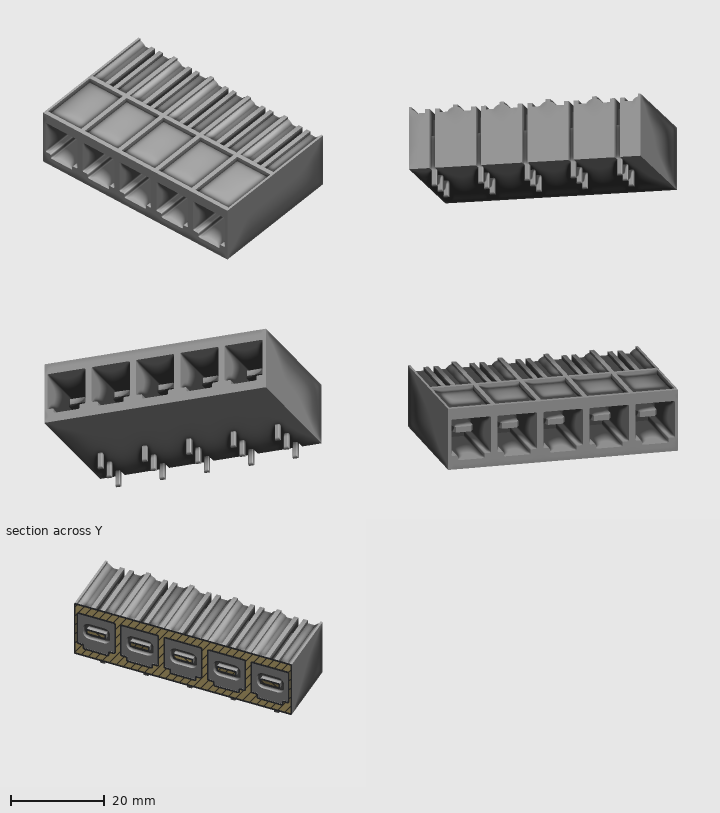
import cadquery as cq
import math


POLE_COUNT = 5
HOUSING_WIDTH = 50.8
HOUSING_LENGTH = 32.0
HOUSING_HEIGHT = 13.6
POLE_PITCH = HOUSING_WIDTH / POLE_COUNT
POLE_CENTRES = [(i - (POLE_COUNT - 1) / 2) * POLE_PITCH for i in range(POLE_COUNT)]

WALL = 1.0
RECESS_WIDTH = POLE_PITCH - WALL

POCKET_LENGTH = 14.0
POCKET_DEPTH = 1.15
POCKET_END = WALL + POCKET_LENGTH

RIBBED_START = POCKET_END + WALL
RIBBED_LENGTH = HOUSING_LENGTH - RIBBED_START
FLOOR_DEPTH = 1.45
FLOOR_Z = HOUSING_HEIGHT - FLOOR_DEPTH
RIB_TOP_DEPTH = 0.65
RIB_TOP_Z = HOUSING_HEIGHT - RIB_TOP_DEPTH
RIB_WIDTH = 1.0
SLOT_WIDTH = 1.15
SLOT_DEPTH = 2.3
ROUND_RADIUS = 2.1
ROUND_HALF_WIDTH = 1.8
ROUND_AXIS_Z = FLOOR_Z - math.sqrt(ROUND_RADIUS**2 - ROUND_HALF_WIDTH**2)

WINDOW_LENGTH = 3.5

SOCKET_DEPTH = 16.25
SOCKET_WIDTH = 8.75
SOCKET_HEIGHT = 8.15
SOCKET_ROOF = 2.45
SOCKET_TOP_Z = HOUSING_HEIGHT - SOCKET_ROOF
SOCKET_LEDGE_Z = SOCKET_TOP_Z - SOCKET_HEIGHT
KEYWAY_WIDTH = 5.9
KEYWAY_DEPTH = 1.05
SOCKET_CORNER_RADIUS = 0.3

OVAL_WIDTH = 6.4
OVAL_HEIGHT = 4.05
OVAL_RADIUS = 1.5
OVAL_DEPTH = 1.0

BLADE_WIDTH = 4.45
BLADE_THICKNESS = 1.2
BLADE_Z = HOUSING_HEIGHT / 2
BLADE_TOP_Z = BLADE_Z + BLADE_THICKNESS / 2
BLADE_TIP_Y = 6.1
BLADE_TIP_INSET = 0.6
BLADE_TIP_LENGTH = 1.0
PIN_COUNT = 3
PIN_PITCH = 5.1
PIN_SIZE = 1.1
PIN_EDGE_CHAMFER = 0.15
PIN_PROTRUSION = 3.5
PIN_TIP_RADIUS = 0.45
REAR_PIN_SETBACK = 2.25
REAR_PIN_Y = HOUSING_LENGTH - REAR_PIN_SETBACK
BLADE_REAR_Y = REAR_PIN_Y + PIN_SIZE / 2


def box(x_centre, width, y_start, length, z_bottom, z_top):
    """Block centred on x_centre that spans the given Y and Z ranges."""
    block = cq.Workplane("XY").box(width, length, z_top - z_bottom, centered=(True, False, False))
    return block.translate((x_centre, y_start, z_bottom))


def make_round(x):
    """Round rail along Y, centred on the border between two poles."""
    section = cq.Workplane("XZ", origin=(x, RIBBED_START, ROUND_AXIS_Z)).circle(ROUND_RADIUS)
    return section.extrude(-RIBBED_LENGTH)


def make_ribbed_recess(x):
    """Volume removed behind the pocket, leaving two ribs, a slot and two rounded sides."""
    recess = box(x, RECESS_WIDTH, RIBBED_START, RIBBED_LENGTH, FLOOR_Z, HOUSING_HEIGHT)
    rib_offset = (SLOT_WIDTH + RIB_WIDTH) / 2
    for side in (-1, 1):
        rib = box(x + side * rib_offset, RIB_WIDTH, RIBBED_START, RIBBED_LENGTH, FLOOR_Z, RIB_TOP_Z)
        recess = recess.cut(rib)
        recess = recess.cut(make_round(x + side * POLE_PITCH / 2))
    slot_floor_z = HOUSING_HEIGHT - SLOT_DEPTH
    return recess.union(box(x, SLOT_WIDTH, RIBBED_START, RIBBED_LENGTH, slot_floor_z, RIB_TOP_Z))


def make_rear_window(x):
    """Slot down to the blade, which runs on through the underside behind the blade."""
    window_start = HOUSING_LENGTH - WINDOW_LENGTH
    window = box(x, SLOT_WIDTH, window_start, WINDOW_LENGTH, BLADE_TOP_Z, FLOOR_Z)
    notch_length = HOUSING_LENGTH - BLADE_REAR_Y
    return window.union(box(x, SLOT_WIDTH, BLADE_REAR_Y, notch_length, 0, FLOOR_Z))


def make_socket(x):
    """Keyed plug socket with an oval recess in its end wall."""
    keyway_bottom = SOCKET_LEDGE_Z - KEYWAY_DEPTH
    socket = box(x, SOCKET_WIDTH, 0, SOCKET_DEPTH, SOCKET_LEDGE_Z, SOCKET_TOP_Z)
    socket = socket.union(box(x, KEYWAY_WIDTH, 0, SOCKET_DEPTH, keyway_bottom, SOCKET_TOP_Z))
    socket = socket.edges("|Y").fillet(SOCKET_CORNER_RADIUS)
    oval_bottom = BLADE_Z - OVAL_HEIGHT / 2
    oval = box(x, OVAL_WIDTH, SOCKET_DEPTH, OVAL_DEPTH, oval_bottom, oval_bottom + OVAL_HEIGHT)
    return socket.union(oval.edges("|Y").fillet(OVAL_RADIUS))


def make_pin(x, y):
    """Square solder pin with chamfered long edges and a tip rounded at its front and rear."""
    y_start = y - PIN_SIZE / 2
    pin = box(x, PIN_SIZE, y_start, PIN_SIZE, -PIN_PROTRUSION, BLADE_Z)
    pin = pin.edges("|Z").chamfer(PIN_EDGE_CHAMFER)
    tip_profile = box(x, PIN_SIZE, y_start, PIN_SIZE, -PIN_PROTRUSION, BLADE_Z)
    tip_profile = tip_profile.faces("<Z").edges("|X").fillet(PIN_TIP_RADIUS)
    return pin.intersect(tip_profile)


def make_contact(x):
    """Blade that lies flat along Y and narrows at its tip, with its row of solder pins."""
    half_width = BLADE_WIDTH / 2
    half_tip = half_width - BLADE_TIP_INSET
    shoulder_y = BLADE_TIP_Y + BLADE_TIP_LENGTH
    contact = (
        cq.Workplane("XY", origin=(x, 0, BLADE_TOP_Z))
        .moveTo(-half_tip, BLADE_TIP_Y)
        .lineTo(half_tip, BLADE_TIP_Y)
        .lineTo(half_width, shoulder_y)
        .lineTo(half_width, BLADE_REAR_Y)
        .lineTo(-half_width, BLADE_REAR_Y)
        .lineTo(-half_width, shoulder_y)
        .close()
        .extrude(-BLADE_THICKNESS)
    )
    for i in range(PIN_COUNT):
        contact = contact.union(make_pin(x, REAR_PIN_Y - i * PIN_PITCH))
    return contact


def make_housing(contacts):
    """Block with one set of recesses per pole and a matching hole for each contact."""
    housing = box(0, HOUSING_WIDTH, 0, HOUSING_LENGTH, 0, HOUSING_HEIGHT)
    pocket_floor_z = HOUSING_HEIGHT - POCKET_DEPTH
    for x in POLE_CENTRES:
        housing = housing.cut(box(x, RECESS_WIDTH, WALL, POCKET_LENGTH, pocket_floor_z, HOUSING_HEIGHT))
        housing = housing.cut(make_ribbed_recess(x))
        housing = housing.cut(make_rear_window(x))
        housing = housing.cut(make_socket(x))
    for contact in contacts:
        housing = housing.cut(contact)
    return housing


contacts = [make_contact(x) for x in POLE_CENTRES]
housing = make_housing(contacts)

result = cq.Compound.makeCompound([housing.val(), *[contact.val() for contact in contacts]])